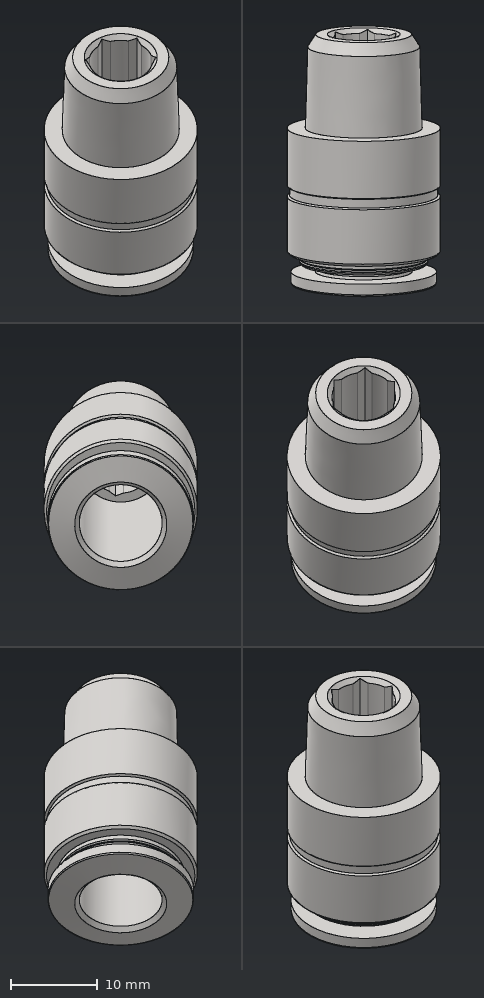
import cadquery as cq
import math

HEIGHT = 29.8
COLLAR_DIAMETER = 17.7
COLLAR_TOP = 18.83
COLLAR_BOTTOM = 4.15
COLLAR_CHAMFER = 0.3

GROOVE_DIAMETER = 17.1
GROOVE_TOP = 11.98
GROOVE_BOTTOM = 10.97
GROOVE_BEVEL = 0.15

NOSE_BASE_DIAMETER = 13.5
NOSE_UPPER_DIAMETER = 12.95
NOSE_TOP_DIAMETER = 11.1
NOSE_CHAMFER_HEIGHT = 1.45

RING_DIAMETER = 14.8
RING_BOTTOM = 2.9
RING_CHAMFER = 0.25
V_GROOVE_HEIGHT = 3.43
V_GROOVE_DEPTH = 0.15

NECK_DIAMETER = 10.95
NECK_FLARE = 0.12
NECK_FLARE_HEIGHT = 0.35
FLANGE_DIAMETER = 16.8
FLANGE_TOP = 2.03
FLANGE_BOTTOM = 0.77
FLANGE_BEVEL_HEIGHT = 0.18
FLANGE_BEVEL_INSET = 0.1
BASE_DIAMETER = 10.6

HEX_ACROSS_FLATS = 7.0
RELIEF_DIAMETER = 7.3
LEAD_IN_DIAMETER = 8.4
LEAD_IN_ANGLE = 45.0

TUBE_BORE_DIAMETER = 9.55
TUBE_BORE_TOP = COLLAR_TOP


def make_body():
    """Revolve the stepped outer profile, listed from bottom to top."""
    collar_r = COLLAR_DIAMETER / 2
    groove_r = GROOVE_DIAMETER / 2
    ring_r = RING_DIAMETER / 2
    neck_r = NECK_DIAMETER / 2
    flange_r = FLANGE_DIAMETER / 2
    profile = [
        (0, 0),
        (BASE_DIAMETER / 2, 0),
        (flange_r - FLANGE_BEVEL_INSET, FLANGE_BOTTOM - FLANGE_BEVEL_HEIGHT),
        (flange_r, FLANGE_BOTTOM),
        (flange_r, FLANGE_TOP),
        (neck_r + NECK_FLARE, FLANGE_TOP),
        (neck_r, FLANGE_TOP + NECK_FLARE_HEIGHT),
        (neck_r, RING_BOTTOM),
        (ring_r - RING_CHAMFER, RING_BOTTOM),
        (ring_r, RING_BOTTOM + RING_CHAMFER),
        (ring_r, V_GROOVE_HEIGHT - V_GROOVE_DEPTH),
        (ring_r - V_GROOVE_DEPTH, V_GROOVE_HEIGHT),
        (ring_r, V_GROOVE_HEIGHT + V_GROOVE_DEPTH),
        (ring_r, COLLAR_BOTTOM),
        (collar_r - COLLAR_CHAMFER, COLLAR_BOTTOM),
        (collar_r, COLLAR_BOTTOM + COLLAR_CHAMFER),
        (collar_r, GROOVE_BOTTOM - GROOVE_BEVEL),
        (groove_r, GROOVE_BOTTOM),
        (groove_r, GROOVE_TOP),
        (collar_r, GROOVE_TOP + GROOVE_BEVEL),
        (collar_r, COLLAR_TOP),
        (NOSE_BASE_DIAMETER / 2, COLLAR_TOP),
        (NOSE_UPPER_DIAMETER / 2, HEIGHT - NOSE_CHAMFER_HEIGHT),
        (NOSE_TOP_DIAMETER / 2, HEIGHT),
        (0, HEIGHT),
    ]
    return cq.Workplane("XZ").polyline(profile).close().revolve(360, (0, 0), (0, 1))


def make_socket():
    """Through socket with two hexagon corners on the Y axis."""
    corner_diameter = HEX_ACROSS_FLATS / math.cos(math.radians(30))
    hexagon = cq.Workplane("XY").polygon(6, corner_diameter).extrude(HEIGHT)
    hexagon = hexagon.rotate((0, 0, 0), (0, 0, 1), 90)
    relief = cq.Workplane("XY").circle(RELIEF_DIAMETER / 2).extrude(HEIGHT)
    return hexagon.union(relief)


def make_lead_in():
    """Cone pointing down from the rim of the socket."""
    rim_r = LEAD_IN_DIAMETER / 2
    depth = rim_r / math.tan(math.radians(LEAD_IN_ANGLE))
    profile = [(0, HEIGHT - depth), (rim_r, HEIGHT), (0, HEIGHT)]
    return cq.Workplane("XZ").polyline(profile).close().revolve(360, (0, 0), (0, 1))


def make_tube_bore():
    """Blind bore that meets the base cone in a sharp-edged countersink."""
    bore_r = TUBE_BORE_DIAMETER / 2
    mouth_r = BASE_DIAMETER / 2
    profile = [
        (0, 0),
        (mouth_r, 0),
        (bore_r, mouth_r - bore_r),
        (bore_r, TUBE_BORE_TOP),
        (0, TUBE_BORE_TOP),
    ]
    return cq.Workplane("XZ").polyline(profile).close().revolve(360, (0, 0), (0, 1))


result = make_body().cut(make_socket()).cut(make_lead_in()).cut(make_tube_bore())